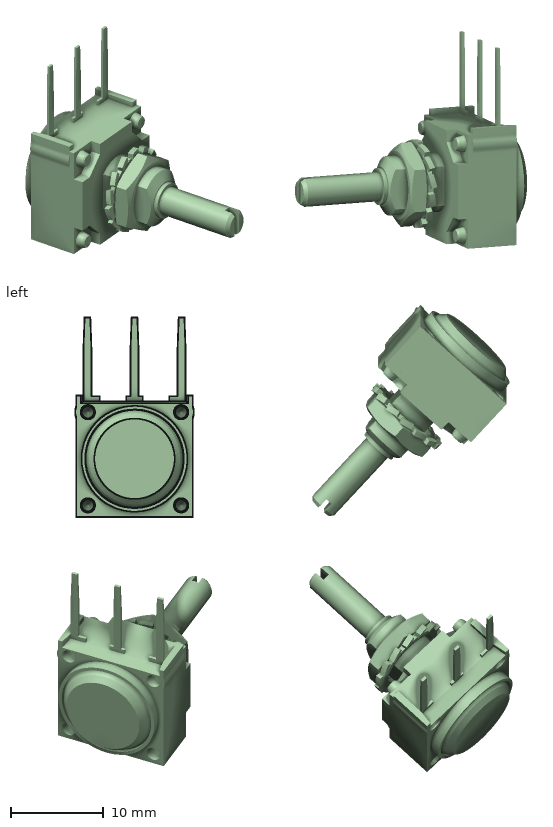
import cadquery as cq
import math


REAR_RING_X = 0.9
HOUSING_X = 2.03
PLATE_X = 7.1
POCKET_X = 7.68
PLATE_FRONT_X = 8.82
BUSHING_END_X = 15.2
SHAFT_END_X = 24.7

HALF_WIDTH = 6.27
HOUSING_TOP_Z = 6.82
RING_DIAMETER = 11.39
CAP_SEAT_DIAMETER = 10.62
CAP_SEAT_X = 1.28
RECESS_DEPTH = 0.62
RECESS_REAR_DEPTH = 0.85
RECESS_HALF_WIDTH = 5.53
RECESS_REAR_HALF_WIDTH = 5.78

CORNER_OFFSET = 5.01
HOLE_MOUTH_DIAMETER = 1.55
HOLE_END_DIAMETER = 1.3
HOLE_DEPTH = 3.7
HOLE_CONE_DEPTH = 0.86

BUMP_RADIUS = 1.63
BUMP_BLEND_RADIUS = 1.1
BUMP_PEAK_Y = 6.4

CAP_FACE_DIAMETER = 8.65
CAP_EDGE_DIAMETER = 9.8
CAP_EDGE_X = 0.62
CAP_BASE_DIAMETER = 10.52

TERMINAL_X = 3.58
TERMINAL_THICKNESS = 0.3
TERMINAL_TOP_Z = 15.22
TERMINAL_TAPER_Z = 11.75
TERMINAL_WIDTH = 0.9
TERMINAL_TIP_WIDTH = 0.65
TERMINAL_SPACING = 5.06
FOOT_REACH = 0.9
FOOT_HEIGHT = 0.55

ARM_HALF_WIDTH = 3.0
POCKET_CHAMFER = 1.93
POST_BASE_DIAMETER = 1.8
POST_SHOULDER_DIAMETER = 1.5
POST_TIP_DIAMETER = 1.3
POST_SHOULDER_HEIGHT = 0.75
POST_HEIGHT = 0.95
BUSHING_DIAMETER = 6.4
BUSHING_TIP_DIAMETER = 4.3
BUSHING_CHAMFER_LENGTH = 0.7
FLAT_HALF_WIDTH = 2.35
FLAT_ROOT_HALF_WIDTH = 2.42
FLAT_RAMP_LENGTH = 0.2

WASHER_CENTRE_X = 11.07
WASHER_THICKNESS = 0.5
WASHER_BORE = 6.65
WASHER_BODY_DIAMETER = 8.4
TOOTH_TIP_DIAMETER = 9.53
TOOTH_ROOT_RADIUS = 4.08
TOOTH_COUNT = 14
TOOTH_LENGTH = 1.48
TOOTH_THICKNESS = 0.62
TOOTH_TWIST = 12.0

NUT_X = WASHER_CENTRE_X + WASHER_THICKNESS / 2
NUT_LENGTH = 2.03
NUT_ACROSS_FLATS = 7.98
NUT_REAR_FACE_DIAMETER = 6.65
NUT_FRONT_FACE_DIAMETER = 7.4
NUT_FRONT_CHAMFER_LENGTH = 0.42
NUT_REAR_CHAMFER_LENGTH = 0.37

SHAFT_DIAMETER = 3.15
SHAFT_TIP_DIAMETER = 2.55
SHAFT_CHAMFER_LENGTH = 0.4
SLOT_DEPTH = 1.28
SLOT_WIDTH = 0.82
RETAINER_DIAMETER = 4.0
RETAINER_THICKNESS = 0.45

RECESS_FLOOR_Z = HOUSING_TOP_Z - RECESS_DEPTH


def cylinder(x_start, x_end, diameter):
    """Cylinder on the shaft axis between two stations."""
    return cq.Workplane("YZ", origin=(x_start, 0, 0)).circle(diameter / 2).extrude(x_end - x_start)


def block(x_range, y_range, z_range):
    """Box given by its lower and upper limit along each axis."""
    (x0, x1), (y0, y1), (z0, z1) = x_range, y_range, z_range
    return cq.Workplane("XY").box(x1 - x0, y1 - y0, z1 - z0, centered=False).translate((x0, y0, z0))


def turned(*profile):
    """Body of revolution about the X axis from (x, diameter) points, closed along the axis."""
    points = [(profile[0][0], 0)]
    points += [(x, diameter / 2) for x, diameter in profile]
    if profile[-1][1] > 0:
        points.append((profile[-1][0], 0))
    return cq.Workplane("XY").polyline(points).close().revolve(360, (0, 0), (1, 0))


def at_corners(body):
    """Copies of a body that lies on the shaft axis, moved to the four corner positions."""
    copies = []
    for y in (-CORNER_OFFSET, CORNER_OFFSET):
        for z in (-CORNER_OFFSET, CORNER_OFFSET):
            copies.append(body.translate((0, y, z)))
    return copies


def make_side_bump():
    """Rounded swelling on the +Y side, blended into the flat side by two concave arcs."""
    bump_centre_y = BUMP_PEAK_Y - BUMP_RADIUS
    blend_centre_y = HALF_WIDTH + BUMP_BLEND_RADIUS
    centre_distance = BUMP_RADIUS + BUMP_BLEND_RADIUS
    cosine = (blend_centre_y - bump_centre_y) / centre_distance
    angle = math.acos(cosine)
    blend_end_z = centre_distance * math.sin(angle)
    contact_y = bump_centre_y + BUMP_RADIUS * cosine
    contact_z = BUMP_RADIUS * math.sin(angle)
    blend_mid_y = blend_centre_y - BUMP_BLEND_RADIUS * math.cos(angle / 2)
    blend_mid_z = blend_end_z - BUMP_BLEND_RADIUS * math.sin(angle / 2)
    return (
        cq.Workplane("YZ", origin=(HOUSING_X, 0, CORNER_OFFSET))
        .moveTo(bump_centre_y, -blend_end_z)
        .lineTo(HALF_WIDTH, -blend_end_z)
        .threePointArc((blend_mid_y, -blend_mid_z), (contact_y, -contact_z))
        .threePointArc((BUMP_PEAK_Y, 0), (contact_y, contact_z))
        .threePointArc((blend_mid_y, blend_mid_z), (HALF_WIDTH, blend_end_z))
        .lineTo(bump_centre_y, blend_end_z)
        .close()
        .extrude(PLATE_X - HOUSING_X)
    )


def make_terminal_recess():
    """Shallow recess in the housing top, level at the front, flared and sloping at the rear."""
    level_part = block(
        (TERMINAL_X, PLATE_X),
        (-RECESS_HALF_WIDTH, RECESS_HALF_WIDTH),
        (RECESS_FLOOR_Z, HOUSING_TOP_Z),
    )
    flared_part = (
        cq.Workplane("YZ", origin=(HOUSING_X, 0, HOUSING_TOP_Z - RECESS_REAR_DEPTH / 2))
        .rect(2 * RECESS_REAR_HALF_WIDTH, RECESS_REAR_DEPTH)
        .workplane(offset=TERMINAL_X - HOUSING_X)
        .center(0, (RECESS_REAR_DEPTH - RECESS_DEPTH) / 2)
        .rect(2 * RECESS_HALF_WIDTH, RECESS_DEPTH)
        .loft(ruled=True)
    )
    return level_part.union(flared_part)


def make_housing():
    housing = block(
        (HOUSING_X, PLATE_X),
        (-HALF_WIDTH, HALF_WIDTH),
        (-HALF_WIDTH, HOUSING_TOP_Z),
    )
    bump = make_side_bump()
    housing = housing.union(bump).union(bump.mirror("XZ"))
    housing = housing.union(cylinder(REAR_RING_X, HOUSING_X, RING_DIAMETER))
    housing = housing.cut(cylinder(REAR_RING_X, CAP_SEAT_X, CAP_SEAT_DIAMETER))
    housing = housing.cut(make_terminal_recess())
    hole_end_x = HOUSING_X + HOLE_DEPTH
    hole = turned(
        (HOUSING_X, HOLE_MOUTH_DIAMETER),
        (hole_end_x, HOLE_END_DIAMETER),
        (hole_end_x + HOLE_CONE_DEPTH, 0),
    )
    for corner_hole in at_corners(hole):
        housing = housing.cut(corner_hole)
    return housing


def make_rear_cap():
    return turned(
        (0, CAP_FACE_DIAMETER),
        (CAP_EDGE_X, CAP_EDGE_DIAMETER),
        (CAP_SEAT_X, CAP_BASE_DIAMETER),
    )


def make_terminal(centre_y, reach_minus_y, reach_plus_y):
    """Flat tapered pin whose foot reaches sideways towards -Y and +Y."""
    half_width = TERMINAL_WIDTH / 2
    half_tip = TERMINAL_TIP_WIDTH / 2
    length = TERMINAL_TOP_Z - RECESS_FLOOR_Z
    taper_start = TERMINAL_TAPER_Z - RECESS_FLOOR_Z
    pin = (
        cq.Workplane("YZ", origin=(TERMINAL_X, centre_y, RECESS_FLOOR_Z))
        .moveTo(-half_width, 0)
        .lineTo(half_width, 0)
        .lineTo(half_width, taper_start)
        .lineTo(half_tip, length)
        .lineTo(-half_tip, length)
        .lineTo(-half_width, taper_start)
        .close()
        .extrude(TERMINAL_THICKNESS)
    )
    foot = block(
        (TERMINAL_X, TERMINAL_X + TERMINAL_THICKNESS),
        (centre_y - half_width - reach_minus_y, centre_y + half_width + reach_plus_y),
        (RECESS_FLOOR_Z, RECESS_FLOOR_Z + FOOT_HEIGHT),
    )
    return pin.union(foot)


def make_terminals():
    """Outer feet reach inwards only; the middle foot reaches half as far to both sides."""
    layout = [
        (-TERMINAL_SPACING, 0, FOOT_REACH),
        (0, FOOT_REACH / 2, FOOT_REACH / 2),
        (TERMINAL_SPACING, FOOT_REACH, 0),
    ]
    return [make_terminal(*place) for place in layout]


def make_corner_pocket():
    """Pocket at the +Y +Z corner of the plate, its inner corner cut by a slanted wall."""
    chamfer_end = ARM_HALF_WIDTH + POCKET_CHAMFER
    return (
        cq.Workplane("YZ", origin=(POCKET_X, 0, 0))
        .moveTo(ARM_HALF_WIDTH, HALF_WIDTH)
        .lineTo(ARM_HALF_WIDTH, chamfer_end)
        .lineTo(chamfer_end, ARM_HALF_WIDTH)
        .lineTo(HALF_WIDTH, ARM_HALF_WIDTH)
        .lineTo(HALF_WIDTH, HALF_WIDTH)
        .close()
        .extrude(PLATE_FRONT_X - POCKET_X)
    )


def make_bushing_flat():
    """Material removed for the flat on the +Y side of the bushing, with a short ramp at its root."""
    outer_y = BUSHING_DIAMETER / 2
    return (
        cq.Workplane("XY")
        .moveTo(PLATE_FRONT_X, outer_y)
        .lineTo(PLATE_FRONT_X, FLAT_ROOT_HALF_WIDTH)
        .lineTo(PLATE_FRONT_X + FLAT_RAMP_LENGTH, FLAT_HALF_WIDTH)
        .lineTo(BUSHING_END_X, FLAT_HALF_WIDTH)
        .lineTo(BUSHING_END_X, outer_y)
        .close()
        .extrude(BUSHING_DIAMETER / 2, both=True)
    )


def make_front_plate():
    """Plate with corner pockets and posts, and the bushing that carries the shaft."""
    plate = block(
        (PLATE_X, PLATE_FRONT_X),
        (-HALF_WIDTH, HALF_WIDTH),
        (-HALF_WIDTH, RECESS_FLOOR_Z),
    )
    pocket = make_corner_pocket()
    for mirrored_y in (pocket, pocket.mirror("XZ")):
        plate = plate.cut(mirrored_y).cut(mirrored_y.mirror("XY"))
    post = turned(
        (POCKET_X, POST_BASE_DIAMETER),
        (POCKET_X + POST_SHOULDER_HEIGHT, POST_SHOULDER_DIAMETER),
        (POCKET_X + POST_HEIGHT, POST_TIP_DIAMETER),
    )
    for corner_post in at_corners(post):
        plate = plate.union(corner_post)
    bushing = turned(
        (PLATE_FRONT_X, BUSHING_DIAMETER),
        (BUSHING_END_X - BUSHING_CHAMFER_LENGTH, BUSHING_DIAMETER),
        (BUSHING_END_X, BUSHING_TIP_DIAMETER),
    )
    flat = make_bushing_flat()
    bushing = bushing.cut(flat).cut(flat.mirror("XZ"))
    return plate.union(bushing).cut(cylinder(PLATE_X, BUSHING_END_X, SHAFT_DIAMETER))


def make_lock_washer():
    """Flat ring with external teeth, each twisted about its own radial line."""
    washer = cylinder(-WASHER_THICKNESS / 2, WASHER_THICKNESS / 2, WASHER_BODY_DIAMETER)
    tooth_height = TOOTH_TIP_DIAMETER / 2 - TOOTH_ROOT_RADIUS
    tooth = (
        cq.Workplane("XY", origin=(0, 0, TOOTH_ROOT_RADIUS))
        .rect(TOOTH_THICKNESS, TOOTH_LENGTH)
        .extrude(tooth_height)
        .rotate((0, 0, 0), (0, 0, 1), TOOTH_TWIST)
    )
    for index in range(TOOTH_COUNT):
        washer = washer.union(tooth.rotate((0, 0, 0), (1, 0, 0), index * 360 / TOOTH_COUNT))
    washer = washer.intersect(cylinder(-TOOTH_LENGTH, TOOTH_LENGTH, TOOTH_TIP_DIAMETER))
    washer = washer.cut(cylinder(-TOOTH_LENGTH, TOOTH_LENGTH, WASHER_BORE))
    return washer.translate((WASHER_CENTRE_X, 0, 0))


def make_nut():
    """Hexagon nut with corners at top and bottom, chamfered at both ends."""
    across_corners = NUT_ACROSS_FLATS / math.cos(math.pi / 6)
    nut_end_x = NUT_X + NUT_LENGTH
    hexagon = (
        cq.Workplane("YZ", origin=(NUT_X, 0, 0))
        .transformed(rotate=(0, 0, 90))
        .polygon(6, across_corners)
        .extrude(NUT_LENGTH)
    )
    chamfers = turned(
        (NUT_X, NUT_REAR_FACE_DIAMETER),
        (NUT_X + NUT_REAR_CHAMFER_LENGTH, across_corners),
        (nut_end_x - NUT_FRONT_CHAMFER_LENGTH, across_corners),
        (nut_end_x, NUT_FRONT_FACE_DIAMETER),
    )
    return hexagon.intersect(chamfers).cut(cylinder(NUT_X, nut_end_x, BUSHING_DIAMETER))


def make_shaft():
    """Shaft with a chamfered tip and a screwdriver slot along Z."""
    shaft = turned(
        (PLATE_X, SHAFT_DIAMETER),
        (SHAFT_END_X - SHAFT_CHAMFER_LENGTH, SHAFT_DIAMETER),
        (SHAFT_END_X, SHAFT_TIP_DIAMETER),
    )
    slot = block(
        (SHAFT_END_X - SLOT_DEPTH, SHAFT_END_X),
        (-SLOT_WIDTH / 2, SLOT_WIDTH / 2),
        (-SHAFT_DIAMETER / 2, SHAFT_DIAMETER / 2),
    )
    return shaft.cut(slot)


def make_retaining_ring():
    """Ring on the shaft, against the end of the bushing."""
    ring_end_x = BUSHING_END_X + RETAINER_THICKNESS
    ring = cylinder(BUSHING_END_X, ring_end_x, RETAINER_DIAMETER)
    return ring.cut(cylinder(BUSHING_END_X, ring_end_x, SHAFT_DIAMETER))


housing = make_housing()
rear_cap = make_rear_cap()
terminals = make_terminals()
front_plate = make_front_plate()
lock_washer = make_lock_washer()
nut = make_nut()
shaft = make_shaft()
retaining_ring = make_retaining_ring()

result = cq.Compound.makeCompound([
    housing.val(),
    rear_cap.val(),
    *[terminal.val() for terminal in terminals],
    front_plate.val(),
    lock_washer.val(),
    nut.val(),
    shaft.val(),
    retaining_ring.val(),
])